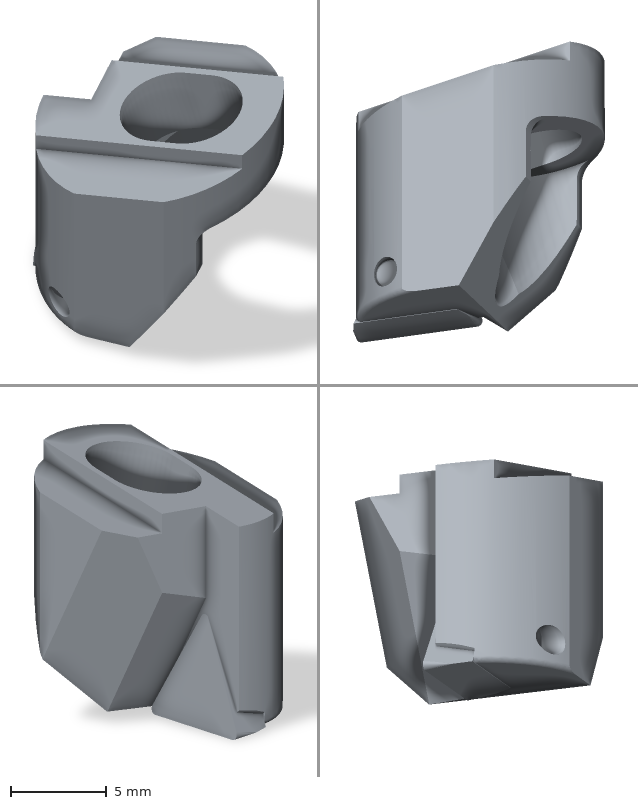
import math

import cadquery as cq


def sin(degrees):
    return math.sin(math.radians(degrees))


def cos(degrees):
    return math.cos(math.radians(degrees))


def tan(degrees):
    return math.tan(math.radians(degrees))



total_height = 14.54
body_radius = 6.5
body_width = 12.0
top_angle = 14.0
bottom_angle = 3.0
bottom_round = 0.29

key_width = 6.0
key_height = 1.0

flange_thickness = 4.0
flange_wall_x = 4.0
flange_round = 1.0
relief_angle = 30.0
relief_foot_x = 0.61
relief_foot_z = 0.68

slot_width = 5.2
slot_spacing = 1.5
slot_centre_x = 1.2

recess_radius = 4.22
recess_centre_x = 3.64

access_radius = 2.5
access_angle = 8.0
access_centre_x = 2.84
access_centre_z = 5.67

notch_wall_x = -3.82
flute_angle = 32.0
flute_edge_y = 3.0
flute_edge_z = 7.75
flute_side_angle = 45.0
flute_back_angle = 7.0

insert_circle = 4.25
insert_corner_angle = 60.0
insert_thickness = 2.52
insert_nose = 0.3
insert_clearance = 11.0
insert_tip_x = -6.94
insert_centre_y = 0.36
edge_angle = 3.0
face_tilt = 4.8
nose_reach = insert_circle - 2 * insert_nose
nose_direction = insert_corner_angle / 2 + edge_angle
insert_centre = (
    insert_tip_x + nose_reach * cos(nose_direction) + insert_nose,
    insert_centre_y,
    (nose_reach * sin(nose_direction) + insert_nose) * cos(face_tilt),
)

seat_relief_x = -2.25
seat_relief_z = -1.16
seat_relief_angle = 38.0

screw_head_radius = 1.34
screw_head_depth = 0.87
screw_radius = 0.79
screw_length = 4.95
screw_end_chamfer = 0.09
screw_rise = 0.15

far = 3 * total_height
flange_drop = flange_thickness / cos(top_angle)


def tilted(angle, x, y, z):
    """Work plane whose normal leans toward -X by the angle, through (x, y, z)."""
    return cq.Plane(
        origin=(x, y, z),
        xDir=(cos(angle), 0, sin(angle)),
        normal=(-sin(angle), 0, cos(angle)),
    )


def top_z(x):
    """Height of the sloped top at x."""
    return total_height - (body_radius - x) * tan(top_angle)


def in_seat(shape):
    """Move a shape from the insert's own axes (face on y = 0) to the insert seat."""
    shape = shape.rotate((0, 0, 0), (0, 1, 0), -edge_angle)
    shape = shape.rotate((0, 0, 0), (1, 0, 0), face_tilt)
    return shape.translate(insert_centre)


def holder_blank():
    """Round bar with sloped ends, a rounded bottom rim and two side flats."""
    blank = cq.Workplane("XY").circle(body_radius).extrude(2 * total_height, both=True)
    bottom = tilted(bottom_angle, relief_foot_x, 0, relief_foot_z)
    blank = blank.cut(cq.Workplane(bottom).rect(far, far).extrude(-far))
    blank = blank.faces("<Z").edges().fillet(bottom_round)
    top = tilted(top_angle, 0, 0, top_z(0))
    blank = blank.cut(cq.Workplane(top).rect(far, far).extrude(far))
    return blank.intersect(cq.Workplane("XY").box(far, body_width, far))


def key_shoulders():
    """Stock on both sides of the raised key."""
    top = tilted(top_angle, 0, 0, top_z(0))
    return cq.Workplane(top).rect(far, far).rect(far, key_width).extrude(-key_height)


def flange_relief():
    """Space under the flange and outside the lower relief."""
    corner_z = top_z(flange_wall_x) - flange_drop
    relief_top_z = relief_foot_z + (flange_wall_x - relief_foot_x) / tan(relief_angle)
    low_z = -total_height
    low_x = relief_foot_x - (relief_foot_z - low_z) * tan(relief_angle)
    outline = [
        (flange_wall_x, corner_z),
        (far, corner_z + (far - flange_wall_x) * tan(top_angle)),
        (far, low_z),
        (low_x, low_z),
        (flange_wall_x, relief_top_z),
    ]
    space = cq.Workplane("XZ").polyline(outline).close().extrude(far, both=True)
    corner = cq.selectors.NearestToPointSelector((flange_wall_x, 0, corner_z))
    return space.edges("|Y").edges(corner).fillet(flange_round)


def screw_slot():
    """Slot square to the top, as deep as the flange is thick."""
    plane = tilted(top_angle, slot_centre_x, 0, top_z(slot_centre_x))
    return cq.Workplane(plane).slot2D(slot_spacing + slot_width, slot_width).extrude(-flange_thickness)


def head_recess():
    """Round recess from the underside of the flange downward."""
    plane = tilted(top_angle, recess_centre_x, 0, top_z(recess_centre_x) - flange_drop)
    return cq.Workplane(plane).circle(recess_radius).extrude(-far)


def access_hole():
    plane = tilted(access_angle, access_centre_x, 0, access_centre_z)
    return cq.Workplane(plane).circle(access_radius).extrude(-far)


def chip_notch():
    """Vertical notch on the -X, +Y side, open along the full height."""
    block = cq.Workplane("XY").box(far, far, far, centered=(False, False, True))
    return block.translate((notch_wall_x - far, 0, 0))


def chip_flute():
    """V-shaped flute that runs down and inward from the chip notch."""
    plane = tilted(flute_angle, notch_wall_x, flute_edge_y, flute_edge_z)
    side_run = far / tan(flute_side_angle)
    back_run = flute_edge_y * tan(flute_back_angle)
    outline = [
        (0, 0),
        (side_run, far),
        (-far, far),
        (-far, -flute_edge_y),
        (-back_run, -flute_edge_y),
    ]
    return cq.Workplane(plane).polyline(outline).close().extrude(far, both=True)


def seat_relief():
    """Wedge of clearance in the seat beside the tip, its lower side parallel to the insert's left edge."""
    outer_x = seat_relief_x - insert_circle
    outline = [
        (seat_relief_x, seat_relief_z),
        (outer_x, seat_relief_z + insert_circle * tan(seat_relief_angle)),
        (outer_x, seat_relief_z - insert_circle * tan(insert_corner_angle)),
    ]
    return cq.Workplane("XZ").polyline(outline).close().extrude(insert_thickness)


def screw_hole():
    """Through hole for the insert screw, in the insert's own axes."""
    return cq.Workplane("XZ").center(0, screw_rise).circle(screw_radius).extrude(far)


def nose_trim():
    """Stock outside the conical nose at the insert corner that points along +Z."""
    depth = insert_nose / tan(insert_clearance)
    side_x = insert_nose * cos(insert_corner_angle / 2)
    side_z = nose_reach + insert_nose * sin(insert_corner_angle / 2)
    kite = [(0, nose_reach), (side_x, side_z), (0, insert_circle), (-side_x, side_z)]
    stock = cq.Workplane("XZ").polyline(kite).close().extrude(depth)
    cone = cq.Solid.makeCone(insert_nose, 0, depth, cq.Vector(0, 0, nose_reach), cq.Vector(0, -1, 0))
    return stock.cut(cq.Workplane(cone))


def insert_blank():
    """Solid triangular insert in its own axes, one edge along X."""
    triangle = cq.Workplane("XZ").transformed(rotate=(0, 0, 90)).polygon(3, 2 * insert_circle)
    blank = triangle.extrude(insert_thickness, taper=insert_clearance)
    for corner in range(3):
        blank = blank.cut(nose_trim().rotate((0, 0, 0), (0, 1, 0), 2 * insert_corner_angle * corner))
    return blank


def insert_screw():
    """Countersunk screw in the insert's own axes, head flush with the face."""
    profile = [
        (0, 0),
        (screw_head_radius, 0),
        (screw_radius, -screw_head_depth),
        (screw_radius, screw_end_chamfer - screw_length),
        (screw_radius - screw_end_chamfer, -screw_length),
        (0, -screw_length),
    ]
    turned = cq.Workplane("XY").polyline(profile).close().revolve(360, (0, 0, 0), (0, 1, 0))
    return turned.translate((0, 0, screw_rise))


screw = in_seat(insert_screw())
insert = in_seat(insert_blank()).cut(screw)

holder = holder_blank()
for cutter in (
    key_shoulders(),
    flange_relief(),
    screw_slot(),
    head_recess(),
    access_hole(),
    chip_notch(),
    chip_flute(),
    in_seat(insert_blank()),
    in_seat(seat_relief()),
    in_seat(screw_hole()),
):
    holder = holder.cut(cutter)

result = cq.Compound.makeCompound([holder.solids().val(), insert.solids().val(), screw.solids().val()])